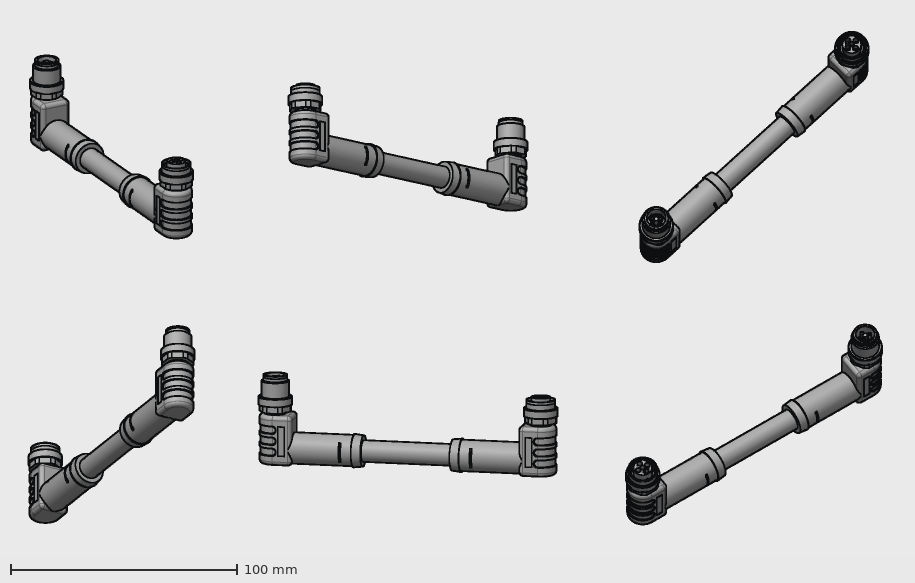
import cadquery as cq

OVERALL_LENGTH = 135.0
OVERALL_HEIGHT = 40.2
RING_DIA = 15.0
BODY_WIDTH = 14.0
PLUG_X = (OVERALL_LENGTH - RING_DIA) / 2
BODY_RADIUS = BODY_WIDTH / 2
OVERLAP = 1.4

BODY_BOTTOM = -BODY_RADIUS
BODY_TOP = 15.4
BODY_INNER_REACH = 8.6
BODY_CORNER = 1.8
BODY_EDGE = 1.9

GROOVE_COUNT = 3
GROOVE_PITCH = 5.0
GROOVE_WIDTH = 3.5
GROOVE_MIDDLE_Z = 4.0
GROOVE_DEPTH = 0.4
GROOVE_SLOPE = 0.3
LABEL_LENGTH = 3.0
LABEL_OFFSET = 4.0
LABEL_HEIGHT = (GROOVE_COUNT - 1) * GROOVE_PITCH + GROOVE_WIDTH - GROOVE_SLOPE
LABEL_DEPTH = 0.1

CABLE_DIA = 9.7
SLEEVE_START_X = BODY_INNER_REACH - BODY_CORNER
SLEEVE_END_X = 39.8
COLLAR_LENGTH = 4.2
SLIT_X = 30.4
SLIT_WIDTH = 0.8
SLIT_DEPTH = 1.5

NECK_DIA = 9.3
HEX_SIDES = 6
HEX_BOTTOM = 16.5
HEX_TOP = 19.5
HEX_ACROSS_FLATS = 13.1
RING_TOP = 23.1
RING_CHAMFER = 0.3

CONTACT_COUNT = 4
CONTACT_CIRCLE_RADIUS = 2.4
MALE_KEY_ANGLE = 45
FEMALE_KEY_ANGLE = 180 - MALE_KEY_ANGLE

PLUG_DIA = 12.3
PLUG_TOP = 30.4
SHOULDER_HEIGHT = 0.4
TIP_DIA = 10.8
LIP_DIA = 10.5
LIP_HEIGHT = 1.0
MALE_TOP = OVERALL_HEIGHT - RING_DIA / 2
MALE_BORE_DIA = 8.4
MALE_BORE_DEPTH = 6.8
PIN_DIA = 1.5
PIN_TIP_DIA = 0.3
PIN_TIP_LENGTH = 0.5
PIN_BELOW_RIM = 1.4
PIN_COLLAR_DIA = 2.3
PIN_COLLAR_HEIGHT = 1.4
POST_DIA = 2.2
POST_BELOW_RIM = 0.7
KEY_WIDTH = 0.5
KEY_REACH = 2.2

SOCKET_DIA = 12.8
SOCKET_TOP = 26.7
SOCKET_MOUTH_DIA = 12.0
SOCKET_MOUTH_DEPTH = 1.4
SOCKET_BORE_DIA = 11.0
SOCKET_BORE_DEPTH = 4.0
INSERT_DIA = 8.2
INSERT_TOP = 28.0
CONTACT_DIA = 2.3
CENTRE_HOLE_DIA = 2.3
KEYWAY_WIDTH = 0.8
KEYWAY_REACH = 2.5
CONTACT_DEPTH = 4.0
SEAL_SECTION_DIA = 1.1


def cylinder(diameter, bottom, top):
    """Upright cylinder on the local Z axis."""
    return cq.Workplane("XY", origin=(0, 0, bottom)).circle(diameter / 2).extrude(top - bottom)


def housing_block():
    """Upright block, round on the outer (-X) side."""
    return (
        cq.Workplane("XY", origin=(0, 0, BODY_BOTTOM))
        .moveTo(0, -BODY_RADIUS)
        .lineTo(BODY_INNER_REACH, -BODY_RADIUS)
        .lineTo(BODY_INNER_REACH, BODY_RADIUS)
        .lineTo(0, BODY_RADIUS)
        .threePointArc((-BODY_RADIUS, 0), (0, -BODY_RADIUS))
        .close()
        .extrude(BODY_TOP - BODY_BOTTOM)
    )


def groove_cutter(z):
    """Groove round the outer half of the housing, with sloped sides and round ends at +/-Y."""
    floor_radius = BODY_RADIUS - GROOVE_DEPTH
    floor_half = GROOVE_WIDTH / 2 - GROOVE_SLOPE
    clear = 2 * GROOVE_DEPTH
    clear_radius = floor_radius + clear
    clear_half = floor_half + clear * GROOVE_SLOPE / GROOVE_DEPTH

    cutter = (
        cq.Workplane("YZ", origin=(0, 0, z))
        .moveTo(floor_radius, -floor_half)
        .lineTo(clear_radius, -clear_half)
        .lineTo(clear_radius, clear_half)
        .lineTo(floor_radius, floor_half)
        .close()
        .revolve(180, (0, 0, 0), (0, 1, 0))
    )
    for side in (-1, 1):
        floor_centre = cq.Vector(0, side * floor_radius, z)
        outward = cq.Vector(0, side, 0)
        round_end = cq.Solid.makeCone(floor_half, clear_half, clear, floor_centre, outward)
        cutter = cutter.union(cq.Workplane(round_end))
    return cutter


def make_housing():
    """Housing with rounded edges, finger grooves and a label recess on both sides."""
    body = housing_block().edges("|Z and >X").fillet(BODY_CORNER)
    body = body.faces("<Z or >Z").edges().fillet(BODY_EDGE)

    for index in range(GROOVE_COUNT):
        z = GROOVE_MIDDLE_Z + (index - (GROOVE_COUNT - 1) / 2) * GROOVE_PITCH
        body = body.cut(groove_cutter(z))

    for side in (-1, 1):
        label = cq.Workplane("XY").box(LABEL_LENGTH, 2 * LABEL_DEPTH, LABEL_HEIGHT)
        body = body.cut(label.translate((LABEL_OFFSET, side * BODY_RADIUS, GROOVE_MIDDLE_Z)))
    return body


def make_nut():
    """Neck, round nut with six flats (one pair facing +/-Y) and coupling ring."""
    flats = (
        cq.Workplane("XY", origin=(0, 0, HEX_BOTTOM))
        .transformed(rotate=(0, 0, 180 / HEX_SIDES))
        .polygon(HEX_SIDES, HEX_ACROSS_FLATS, circumscribed=True)
        .extrude(HEX_TOP - HEX_BOTTOM)
    )
    nut = cylinder(BODY_WIDTH, HEX_BOTTOM, HEX_TOP).intersect(flats)
    neck = cylinder(NECK_DIA, BODY_TOP - OVERLAP, HEX_BOTTOM)
    ring = cylinder(RING_DIA, HEX_TOP, RING_TOP).faces(">Z").chamfer(RING_CHAMFER)
    return neck.union(nut).union(ring)


def at_contacts(feature):
    """Copies of an on-axis feature at the outer contact places, on the X and Y directions."""
    copies = cq.Workplane("XY")
    for index in range(CONTACT_COUNT):
        placed = feature.translate((CONTACT_CIRCLE_RADIUS, 0, 0))
        copies = copies.add(placed.rotate((0, 0, 0), (0, 0, 1), index * 360 / CONTACT_COUNT))
    return copies.combine()


def keyed_round(diameter, key_width, key_reach, key_angle, bottom, top):
    """Upright cylinder with a radial bar reaching out at the given angle."""
    bar = (
        cq.Workplane("XY", origin=(0, 0, bottom))
        .box(key_reach, key_width, top - bottom, centered=(False, True, False))
        .rotate((0, 0, 0), (0, 0, 1), key_angle)
    )
    return cylinder(diameter, bottom, top).union(bar)


def add_male_end(plug):
    """Add the stepped plug with its open bore, pointed pins and keyed centre post."""
    floor = MALE_TOP - MALE_BORE_DEPTH
    shoulder = cylinder(PLUG_DIA, RING_TOP, PLUG_TOP).faces(">Z").chamfer(
        SHOULDER_HEIGHT, (PLUG_DIA - TIP_DIA) / 2
    )
    plug = (
        plug.union(shoulder)
        .union(cylinder(TIP_DIA, PLUG_TOP - SHOULDER_HEIGHT, MALE_TOP - LIP_HEIGHT))
        .union(cylinder(LIP_DIA, MALE_TOP - LIP_HEIGHT, MALE_TOP))
        .cut(cylinder(MALE_BORE_DIA, floor, MALE_TOP))
    )
    pin = cylinder(PIN_DIA, floor, MALE_TOP - PIN_BELOW_RIM).faces(">Z").chamfer(
        PIN_TIP_LENGTH, (PIN_DIA - PIN_TIP_DIA) / 2
    )
    pin = pin.union(cylinder(PIN_COLLAR_DIA, floor, floor + PIN_COLLAR_HEIGHT))
    post_top = MALE_TOP - POST_BELOW_RIM
    post = keyed_round(POST_DIA, KEY_WIDTH, KEY_REACH, MALE_KEY_ANGLE, floor, post_top)
    return plug.union(at_contacts(pin)).union(post)


def add_female_end(plug):
    """Add the socket sleeve, the contact insert and the seal ring in the gap between them."""
    floor = SOCKET_TOP - SOCKET_BORE_DEPTH
    plug = (
        plug.union(cylinder(SOCKET_DIA, RING_TOP, SOCKET_TOP))
        .cut(cylinder(SOCKET_MOUTH_DIA, SOCKET_TOP - SOCKET_MOUTH_DEPTH, SOCKET_TOP))
        .cut(cylinder(SOCKET_BORE_DIA, floor, SOCKET_TOP))
        .union(cylinder(INSERT_DIA, floor, INSERT_TOP))
    )
    seal_radius = (INSERT_DIA + SEAL_SECTION_DIA) / 2
    seal = (
        cq.Workplane("XZ", origin=(seal_radius, 0, floor))
        .circle(SEAL_SECTION_DIA / 2)
        .revolve(360, (-seal_radius, 0), (-seal_radius, 1))
    )
    holes_bottom = INSERT_TOP - CONTACT_DEPTH
    contact = cylinder(CONTACT_DIA, holes_bottom, INSERT_TOP)
    centre = keyed_round(
        CENTRE_HOLE_DIA, KEYWAY_WIDTH, KEYWAY_REACH, FEMALE_KEY_ANGLE, holes_bottom, INSERT_TOP
    )
    return plug.union(seal).cut(at_contacts(contact)).cut(centre)


def make_sleeve():
    """Strain-relief sleeve along X from the housing, with a tapered collar and side slits."""
    collar_x = SLEEVE_END_X - COLLAR_LENGTH
    sleeve = (
        cq.Workplane("XY")
        .moveTo(SLEEVE_START_X, 0)
        .lineTo(SLEEVE_START_X, BODY_RADIUS)
        .lineTo(collar_x, BODY_RADIUS)
        .lineTo(collar_x, RING_DIA / 2)
        .lineTo(SLEEVE_END_X, BODY_RADIUS)
        .lineTo(SLEEVE_END_X, 0)
        .close()
        .revolve(360, (0, 0, 0), (1, 0, 0))
    )
    for side in (-1, 1):
        slit = cq.Workplane("XY").box(SLIT_WIDTH, 2 * SLIT_DEPTH, BODY_WIDTH)
        sleeve = sleeve.cut(slit.translate((SLIT_X, side * BODY_RADIUS, 0)))
    return sleeve


def make_cable():
    """Straight cable between the two sleeves."""
    half_length = PLUG_X - SLEEVE_END_X + OVERLAP
    return cq.Workplane("YZ").circle(CABLE_DIA / 2).extrude(half_length, both=True)


blank = make_housing().union(make_nut()).union(make_sleeve())
male_plug = add_male_end(blank).translate((-PLUG_X, 0, 0))
female_plug = add_female_end(blank.mirror("YZ")).translate((PLUG_X, 0, 0))
result = male_plug.union(make_cable()).union(female_plug)